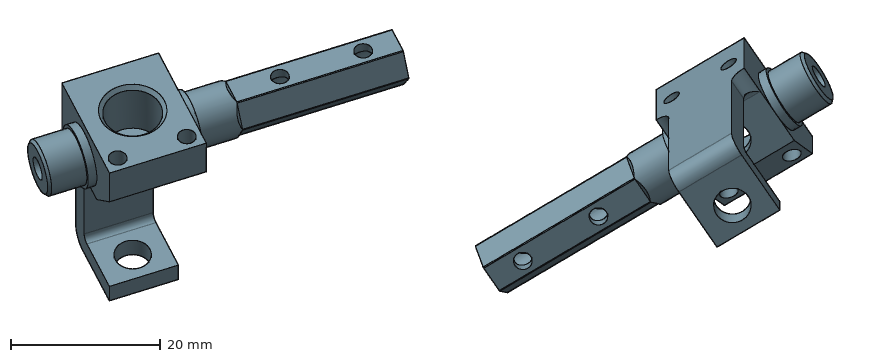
import cadquery as cq
import math


block_length = 17.0
block_width = 14.0
block_height = 10.5
rod_axis_to_left = 8.0
rod_axis_to_top = 6.0
left = -rod_axis_to_left
right = left + block_length
top = rod_axis_to_top
block_bottom = top - block_height
corner_cut = -block_bottom

total_height = 33.0
arm_width = 10.0
arm_thickness = 3.0
foot_length = 12.0
bend_outer_radius = 2.5
bend_inner_radius = 1.0
shoulder_radius = 2.0
arm_bottom = top - total_height

total_length = 52.0
front_reach = 13.75
rod_diameter = 8.0
collar_diameter = 9.0
collar_thickness = 1.25
stub_chamfer = 0.4
hex_length = 24.0
hex_across_flats = 7.0
hex_across_corners = hex_across_flats / math.cos(math.pi / 6)
neck_bevel_length = 0.5
neck_bevel_angle = 45
front = -front_reach
back = total_length - front_reach
hex_start = back - hex_length
collar_length = block_width + 2 * collar_thickness

bore_diameter = 8.0
bore_depth = 8.5
bore_chamfer = 0.55
through_diameter = 5.0
pin_hole_diameter = 2.5
pin_hole_x = 6.95
pin_hole_y = 5.0
hex_hole_from_end = 5.0
hex_hole_spacing = 12.0
side_hole_diameter = 2.45
side_hole_depth = 5.0
side_hole_y = 4.5
tail_bore_diameter = 4.5
tail_bore_depth = hex_length
end_hole_diameter = 3.2
end_hole_depth = 6.0
drill_point_ratio = 0.3


def y_workplane(y):
    """Plane at the given Y whose normal points along +Y."""
    return cq.Workplane(cq.Plane(origin=(0, y, 0), xDir=(1, 0, 0), normal=(0, 1, 0)))


def y_cylinder(diameter, start, length):
    return y_workplane(start).circle(diameter / 2).extrude(length)


def vertical_hole(x, y, diameter):
    return cq.Workplane("XY", origin=(x, y, arm_bottom)).circle(diameter / 2).extrude(total_height)


def drilled_hole(plane, diameter, depth):
    """Blind hole along the plane's local X direction, ending in a drill point."""
    radius = diameter / 2
    tip = depth + drill_point_ratio * diameter
    profile = cq.Workplane(plane).polyline([(0, 0), (0, radius), (depth, radius), (tip, 0)]).close()
    return profile.revolve(360, (0, 0), (1, 0))


def make_block():
    outline = [
        (left, block_bottom),
        (right - corner_cut, block_bottom),
        (right, 0),
        (right, top),
        (left, top),
    ]
    return y_workplane(-block_width / 2).polyline([(x, -z) for x, z in outline]).close().extrude(block_width)


def make_arm():
    """L-shaped strip that widens with concave shoulders where it meets the block."""
    height = block_bottom - arm_bottom
    clearance = 2 * foot_length
    strip = cq.Workplane("XY").box(foot_length, block_width, height, centered=(False, True, False))
    strip = strip.translate((left, 0, arm_bottom))
    strip = strip.edges("|Y and <X and <Z").fillet(bend_outer_radius)

    window = cq.Workplane("XY").box(
        clearance, block_width, height - arm_thickness, centered=(False, True, False)
    )
    window = window.edges("|Y and <X").fillet(bend_inner_radius)
    strip = strip.cut(window.translate((left + arm_thickness, 0, arm_bottom + arm_thickness)))

    half = arm_width / 2
    wide = half + shoulder_radius
    mid = shoulder_radius * (1 - 0.5 ** 0.5)
    fillet_start = block_bottom - shoulder_radius
    silhouette = (
        cq.Workplane("YZ", origin=(left, 0, 0))
        .moveTo(-half, arm_bottom)
        .lineTo(half, arm_bottom)
        .lineTo(half, fillet_start)
        .threePointArc((half + mid, block_bottom - mid), (wide, block_bottom))
        .lineTo(-wide, block_bottom)
        .threePointArc((-half - mid, block_bottom - mid), (-half, fillet_start))
        .close()
        .extrude(foot_length)
    )
    return strip.intersect(silhouette)


def make_rod():
    """Chamfered front stub, collars, round neck and hexagonal tail."""
    rod = y_cylinder(rod_diameter, front, total_length).faces("<Y").chamfer(stub_chamfer)
    collar = y_cylinder(collar_diameter, -collar_length / 2, collar_length)

    hexagon = y_workplane(hex_start).polygon(6, hex_across_corners).extrude(hex_length)
    flare = (
        cq.Workplane("XZ", origin=(0, hex_start, 0))
        .polygon(6, hex_across_corners)
        .extrude(neck_bevel_length, taper=-neck_bevel_angle)
    )
    round_envelope = y_cylinder(collar_diameter, front, front_reach + hex_start - neck_bevel_length)
    rod = rod.intersect(round_envelope.union(flare).union(hexagon))
    return rod.union(collar)


def make_bore():
    """Stepped vertical bore with a chamfered mouth; its small bore also pierces the foot."""
    bore = cq.Workplane("XY", origin=(0, 0, top)).circle(bore_diameter / 2).extrude(-bore_depth)
    mouth_radius = bore_diameter / 2 + bore_chamfer
    mouth = (
        cq.Workplane("XZ")
        .polyline([(0, top), (mouth_radius, top), (0, top - mouth_radius)])
        .close()
        .revolve(360, (0, 0), (0, 1))
    )
    return bore.union(mouth).union(vertical_hole(0, 0, through_diameter))


result = make_block().union(make_arm()).union(make_rod())
result = result.cut(make_bore())

for side in (-1, 1):
    result = result.cut(vertical_hole(pin_hole_x, side * pin_hole_y, pin_hole_diameter))
    side_plane = cq.Plane(origin=(left, side * side_hole_y, 0), xDir=(1, 0, 0), normal=(0, 0, 1))
    result = result.cut(drilled_hole(side_plane, side_hole_diameter, side_hole_depth))

result = result.cut(y_cylinder(tail_bore_diameter, back - tail_bore_depth, tail_bore_depth))

hex_hole_count = 2
for index in range(hex_hole_count):
    hole_y = back - hex_hole_from_end - index * hex_hole_spacing
    result = result.cut(vertical_hole(0, hole_y, pin_hole_diameter))

end_plane = cq.Plane(origin=(0, front, 0), xDir=(0, 1, 0), normal=(0, 0, 1))
result = result.cut(drilled_hole(end_plane, end_hole_diameter, end_hole_depth))